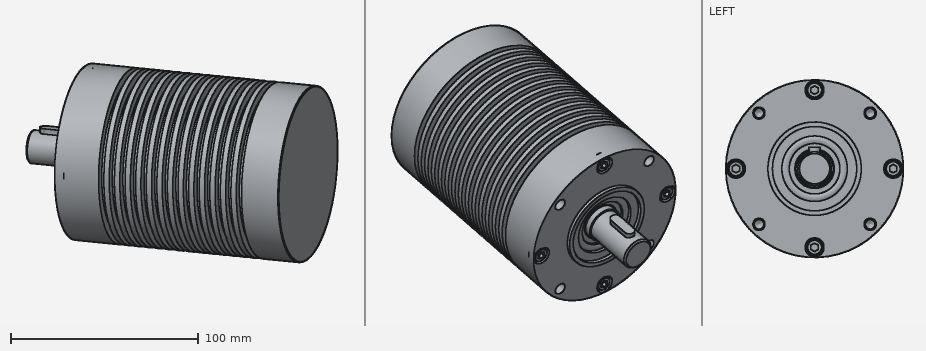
import cadquery as cq
import math

TOTAL_LENGTH = 157.0
SHAFT_REACH = 28.0
PILOT_HEIGHT = 2.0
FRONT_FLANGE_LENGTH = 25.0
FIN_ZONE_LENGTH = 81.0
FACE_X = SHAFT_REACH + PILOT_HEIGHT
FIN_ZONE_X = FACE_X + FRONT_FLANGE_LENGTH

BODY_DIAMETER = 95.0
REAR_CHAMFER = 0.5
PILOT_DIAMETER = 50.0

GROOVE_COUNT = 14
GROOVE_FLOOR_DIAMETER = 85.0
GROOVE_CUTTER_DIAMETER = 97.3
GROOVE_WIDTH = FIN_ZONE_LENGTH / (2 * GROOVE_COUNT - 1)

SHAFT_DIAMETER = 18.0
SHAFT_CHAMFER = 1.0
COLLAR_DIAMETER = 20.0

RECESS_DIAMETER = 45.0
RECESS_DEPTH = 2.0
LIP_OUTER_DIAMETER = 35.0
LIP_INNER_DIAMETER = 27.0
LIP_RIM_SINK = 1.9
LIP_CREST_SINK = 1.3
BEARING_FACE_DEPTH = 3.3
CLEARANCE_DIAMETER = 21.0
CLEARANCE_DEPTH = 0.5
RECESS_FLOOR_X = SHAFT_REACH + RECESS_DEPTH
BEARING_FACE_X = RECESS_FLOOR_X + BEARING_FACE_DEPTH
CLEARANCE_FLOOR_X = BEARING_FACE_X + CLEARANCE_DEPTH

KEY_START_X = 5.0
KEY_LENGTH = 18.0
KEY_WIDTH = 6.0
KEY_TOP_Z = 11.5

PITCH_DIAMETER = 84.0
COUNTERBORE_DIAMETER = 10.0
COUNTERBORE_DEPTH = 5.0
SCREW_HEAD_DIAMETER = 8.5
SCREW_HEAD_CHAMFER = 0.5
SCREW_HEAD_SINK = 0.5
SOCKET_ACROSS_FLATS = 4.0
SOCKET_DEPTH = 2.5
SCREW_ANGLES = (0, 90, 180, 270)

TAPPED_DIAMETER = 6.5
TAPPED_DEPTH = 12.0
DRILL_DIAMETER = 5.2
DRILL_POINT_ANGLE = 118.0
TAPPED_ANGLES = (45, 135, 225, 315)


def rod(diameter, start_x, length, y=0, z=0):
    """Solid cylinder along +X."""
    plane = cq.Workplane("YZ", origin=(start_x, y, z))
    return plane.circle(diameter / 2).extrude(length)


def ring(outer_diameter, inner_diameter, start_x, length):
    """Solid tube along +X, centred on the shaft axis."""
    plane = cq.Workplane("YZ", origin=(start_x, 0, 0))
    return plane.circle(outer_diameter / 2).circle(inner_diameter / 2).extrude(length)


def on_pitch_circle(angle):
    """Y and Z of a place on the pitch circle."""
    radians = math.radians(angle)
    radius = PITCH_DIAMETER / 2
    return radius * math.cos(radians), radius * math.sin(radians)


def housing():
    body = rod(BODY_DIAMETER, FACE_X, TOTAL_LENGTH - FACE_X)
    body = body.faces(">X").edges().chamfer(REAR_CHAMFER)
    body = body.union(rod(PILOT_DIAMETER, SHAFT_REACH, PILOT_HEIGHT))
    for index in range(GROOVE_COUNT):
        groove_x = FIN_ZONE_X + 2 * index * GROOVE_WIDTH
        body = body.cut(ring(GROOVE_CUTTER_DIAMETER, GROOVE_FLOOR_DIAMETER, groove_x, GROOVE_WIDTH))
    return body


def shaft_recess():
    """Material removed around the shaft: a half section turned about the shaft axis."""
    recess_radius = RECESS_DIAMETER / 2
    outer_radius = LIP_OUTER_DIAMETER / 2
    inner_radius = LIP_INNER_DIAMETER / 2
    clearance_radius = CLEARANCE_DIAMETER / 2
    crest = (RECESS_FLOOR_X + LIP_CREST_SINK, (outer_radius + inner_radius) / 2)
    rim_x = RECESS_FLOOR_X + LIP_RIM_SINK
    return (
        cq.Workplane("XY")
        .moveTo(SHAFT_REACH, 0)
        .lineTo(SHAFT_REACH, recess_radius)
        .lineTo(RECESS_FLOOR_X, recess_radius)
        .lineTo(RECESS_FLOOR_X, outer_radius)
        .lineTo(rim_x, outer_radius)
        .threePointArc(crest, (rim_x, inner_radius))
        .lineTo(BEARING_FACE_X, inner_radius)
        .lineTo(BEARING_FACE_X, clearance_radius)
        .lineTo(CLEARANCE_FLOOR_X, clearance_radius)
        .lineTo(CLEARANCE_FLOOR_X, 0)
        .close()
        .revolve(360, (0, 0, 0), (1, 0, 0))
    )


def shaft():
    bar = rod(SHAFT_DIAMETER, 0, CLEARANCE_FLOOR_X)
    bar = bar.faces("<X").edges().chamfer(SHAFT_CHAMFER)
    collar = rod(COLLAR_DIAMETER, RECESS_FLOOR_X, CLEARANCE_FLOOR_X - RECESS_FLOOR_X)
    return bar.union(collar)


def key():
    centre_x = KEY_START_X + KEY_LENGTH / 2
    return cq.Workplane("XY").center(centre_x, 0).slot2D(KEY_LENGTH, KEY_WIDTH).extrude(KEY_TOP_Z)


def screw_head(y, z):
    top_x = FACE_X + SCREW_HEAD_SINK
    head = rod(SCREW_HEAD_DIAMETER, top_x, COUNTERBORE_DEPTH - SCREW_HEAD_SINK, y, z)
    head = head.faces("<X").edges().chamfer(SCREW_HEAD_CHAMFER)
    across_corners = SOCKET_ACROSS_FLATS / math.cos(math.pi / 6)
    socket = (
        cq.Workplane("YZ", origin=(top_x, y, z))
        .transformed(rotate=(0, 0, 90))
        .polygon(6, across_corners)
        .extrude(SOCKET_DEPTH)
    )
    return head.cut(socket)


def tapped_hole(y, z):
    """Threaded bore ending in a narrower conical drill point."""
    drill_radius = DRILL_DIAMETER / 2
    point_length = drill_radius / math.tan(math.radians(DRILL_POINT_ANGLE / 2))
    bottom_x = FACE_X + TAPPED_DEPTH
    point = cq.Solid.makeCone(
        drill_radius, 0, point_length, cq.Vector(bottom_x, y, z), cq.Vector(1, 0, 0)
    )
    return rod(TAPPED_DIAMETER, FACE_X, TAPPED_DEPTH, y, z).union(cq.Workplane(point))


result = housing().cut(shaft_recess()).union(shaft()).union(key())

for angle in SCREW_ANGLES:
    y, z = on_pitch_circle(angle)
    result = result.cut(rod(COUNTERBORE_DIAMETER, FACE_X, COUNTERBORE_DEPTH, y, z))
    result = result.union(screw_head(y, z))

for angle in TAPPED_ANGLES:
    result = result.cut(tapped_hole(*on_pitch_circle(angle)))